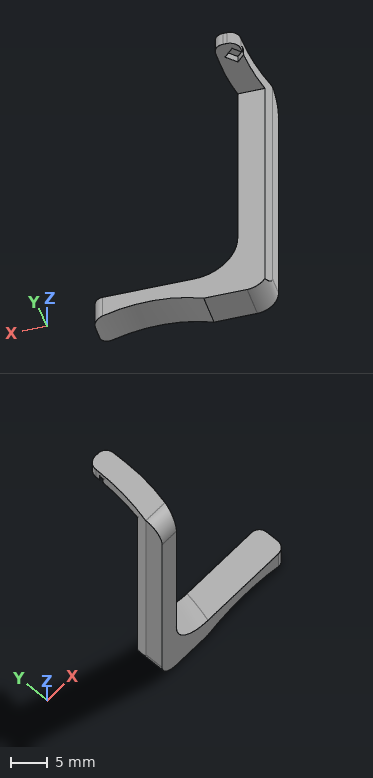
import cadquery as cq
import math

length = 25.0
height = 39.0
finger_reach = 15.0
bar_width = 5.0

foot_height = 4.0
heel_radius = 3.0
toe_radius = 1.5
arch_start = 9.15
arch_rise = 1.5

finger_height = 2.05
flat_depth = 3.0
brow_radius = 3.0
throat_radius = 6.0
throat_overlap = 1.5
tip_radius = 1.52
tip_outer_x = 1.4
tip_inner_x = 5.0
inner_wall_radius = 31.6
inner_wall_center_y = 11.25

pocket_y = 12.48
pocket_side = 2.0
pocket_depth = 1.0
pocket_slit_width = 0.55


outer_wall_center_y = finger_reach - tip_radius
outer_wall_run = outer_wall_center_y - flat_depth
outer_wall_radius = (outer_wall_run**2 + tip_outer_x**2) / (2 * tip_outer_x)


def wall_x(tip_x, radius, center_y, y):
    """X of a curved wall at y; the wall runs along Y where it reaches tip_x."""
    return tip_x - radius + math.sqrt(radius**2 - (y - center_y) ** 2)


def outer_x(y):
    return wall_x(tip_outer_x, outer_wall_radius, outer_wall_center_y, y)


def inner_x(y):
    return wall_x(tip_inner_x, inner_wall_radius, inner_wall_center_y, y)


def plan_block():
    """Full-height block with the plan outline of the stem and finger."""
    outer_mid = (flat_depth + outer_wall_center_y) / 2
    inner_mid = inner_wall_center_y / 2
    return (
        cq.Workplane("XY")
        .lineTo(inner_x(0), 0)
        .threePointArc((inner_x(inner_mid), inner_mid), (tip_inner_x, inner_wall_center_y))
        .lineTo(tip_inner_x, outer_wall_center_y)
        .radiusArc((tip_inner_x - tip_radius, finger_reach), -tip_radius)
        .lineTo(tip_outer_x + tip_radius, finger_reach)
        .radiusArc((tip_outer_x, outer_wall_center_y), -tip_radius)
        .threePointArc((outer_x(outer_mid), outer_mid), (0, flat_depth))
        .close()
        .extrude(height)
    )


def side_profile():
    """Upright with the finger on top, as a Y-Z profile swept along X."""
    return (
        cq.Workplane("YZ")
        .lineTo(bar_width, 0)
        .lineTo(bar_width, height - finger_height)
        .lineTo(finger_reach, height - finger_height)
        .lineTo(finger_reach, height)
        .lineTo(0, height)
        .close()
        .extrude(length)
        .edges("|X and >Z and <Y")
        .fillet(brow_radius)
    )


def foot():
    """Foot bar, its outer end following the outer curved wall."""
    mid = (flat_depth + bar_width) / 2
    return (
        cq.Workplane("XY")
        .lineTo(length, 0)
        .lineTo(length, bar_width)
        .lineTo(outer_x(bar_width), bar_width)
        .threePointArc((outer_x(mid), mid), (0, flat_depth))
        .close()
        .extrude(foot_height)
        .edges("|Z and >X")
        .fillet(toe_radius)
    )


def throat():
    """Concave fillet between the inner curved wall and the top of the foot."""
    center_x = tip_inner_x - inner_wall_radius
    buried_radius = inner_wall_radius - throat_overlap
    reach = inner_wall_radius + throat_radius
    top = foot_height + throat_radius
    ring = (
        cq.Workplane("XZ", origin=(center_x, inner_wall_center_y, 0))
        .moveTo(buried_radius, foot_height)
        .lineTo(reach, foot_height)
        .radiusArc((inner_wall_radius, top), throat_radius)
        .lineTo(buried_radius, top)
        .close()
        .revolve(360, (0, 0, 0), (0, 1, 0))
    )
    bar_zone = cq.Workplane("XY").box(length, bar_width, top, centered=False)
    return ring.intersect(bar_zone)


def heel_cutter():
    """Waste outside the rounded lower corner at the heel."""
    return (
        cq.Workplane("XZ")
        .lineTo(heel_radius, 0)
        .radiusArc((0, heel_radius), heel_radius)
        .close()
        .extrude(-bar_width)
    )


def arch_cutter():
    """Shallow arch under the foot."""
    return (
        cq.Workplane("XZ")
        .moveTo(arch_start, 0)
        .threePointArc(((arch_start + length) / 2, arch_rise), (length, 0))
        .close()
        .extrude(-bar_width)
    )


def pocket_cutter():
    """Square pocket, turned 45 degrees so that its corner opens a slit in the outer wall."""
    corner_overhang = pocket_slit_width / 2
    center_x = outer_x(pocket_y) - corner_overhang + pocket_side / math.sqrt(2)
    return (
        cq.Workplane("XY", origin=(center_x, pocket_y, height - finger_height))
        .transformed(rotate=(0, 0, 45))
        .rect(pocket_side, pocket_side)
        .extrude(pocket_depth)
    )


result = (
    plan_block()
    .intersect(side_profile())
    .union(foot())
    .union(throat())
    .cut(heel_cutter())
    .cut(arch_cutter())
    .cut(pocket_cutter())
)